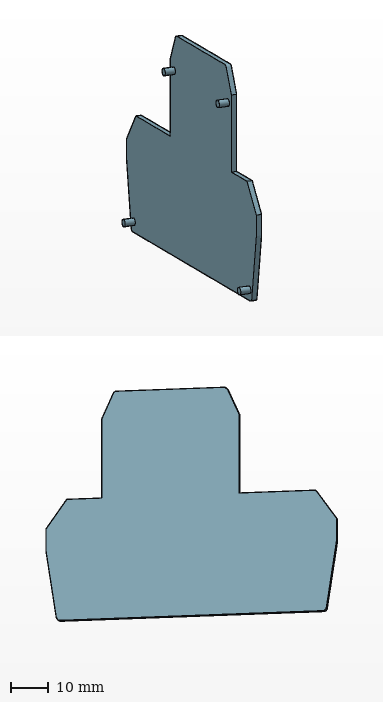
import cadquery as cq

plate_thickness = 1.55
plate_height = 61.0

base_half_width = 39.0
bottom_half_width = 36.1
shoulder_half_width = 33.4
taper_top_z = 18.8
shoulder_start_z = 24.65
shoulder_z = 32.45

tower_center_x = 5.6
tower_half_width = 18.4
tower_top_half_width = 15.05
tower_chamfer_z = 53.7

corner_radius = 1.0

pin_diameter = 2.0
pin_length = 3.0
base_pin_half_spacing = 34.7
base_pin_z = 3.0
tower_pin_half_spacing = 16.2
tower_pin_z = 51.0


def make_plate():
    """Stepped outline with rounded corners at the bottom and the tower top."""
    tower_left = tower_center_x - tower_half_width
    tower_right = tower_center_x + tower_half_width
    outline = [
        (-bottom_half_width, 0),
        (-base_half_width, taper_top_z),
        (-base_half_width, shoulder_start_z),
        (-shoulder_half_width, shoulder_z),
        (tower_left, shoulder_z),
        (tower_left, tower_chamfer_z),
        (tower_center_x - tower_top_half_width, plate_height),
        (tower_center_x + tower_top_half_width, plate_height),
        (tower_right, tower_chamfer_z),
        (tower_right, shoulder_z),
        (shoulder_half_width, shoulder_z),
        (base_half_width, shoulder_start_z),
        (base_half_width, taper_top_z),
        (bottom_half_width, 0),
    ]
    plate = cq.Workplane("XZ").polyline(outline).close().extrude(-plate_thickness)
    for end_face in ("<Z", ">Z"):
        plate = plate.faces(end_face).edges("|Y").fillet(corner_radius)
    return plate


def make_pins():
    """Two pins near the bottom corners and two near the top of the tower."""
    centers = []
    for side in (-1, 1):
        centers.append((side * base_pin_half_spacing, base_pin_z))
        centers.append((tower_center_x + side * tower_pin_half_spacing, tower_pin_z))
    return cq.Workplane("XZ").pushPoints(centers).circle(pin_diameter / 2).extrude(pin_length)


result = make_plate().union(make_pins())